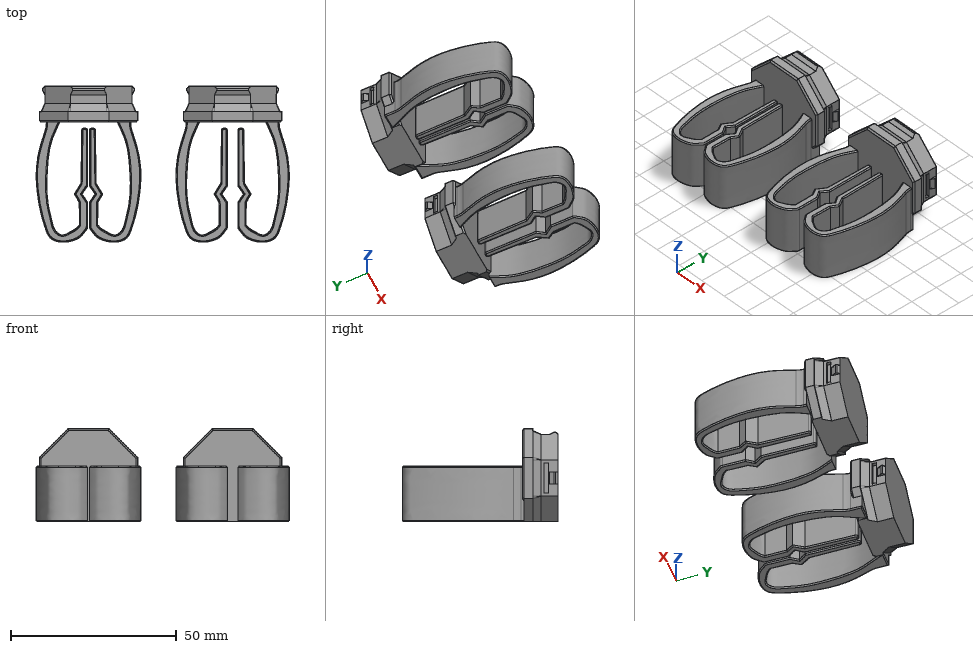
import cadquery as cq
import math


CLIP_LENGTH = 46.95
PLUG_SIZE = 26.3
TAPER_SIZE = 28.5
FLANGE_SIZE = 29.65
AXIS_HEIGHT = PLUG_SIZE / 2

PLUG_DEPTH = 5.2
TAPER_DEPTH = 7.6
FLANGE_DEPTH = 10.8
FLANGE_CHAMFER = 0.5

NUB_RISE = 0.7
NUB_CREST_START = 0.8
NUB_CREST_END = 1.2
NUB_END = 2.6
SIDE_NUB_WIDTH = 3.7

SLOT_START = 3.0
SLOT_WIDTH = 1.3
SLOT_LENGTH = 8.9
SLOT_RECESS = 1.0

ARM_HEIGHT = 16.7
ARM_CHAMFER = 0.4
ROOT_OUTER_X = 12.7
ROOT_DEPTH = 11.3
ROOT_INNER_X = 7.3
FILLET_END_X = 13.1
FILLET_END_DEPTH = 13.5
BULGE_X = 15.8
BULGE_DEPTH = 26.9

LEG_FACE_X = 0.3
LEG_TIP_DEPTH = 12.65
LEG_TIP_FILLET = 0.6
LEG_TIP_BACK_X = 2.05
LEG_NOTCH_BACK_X = 2.3
LEG_NOTCH_BACK_DEPTH = 29.3
NOTCH_DEPTH = 32.5
NOTCH_HALF_LENGTH = 2.45
NOTCH_X = 2.0
NOTCH_BACK_X = 4.3
LEG_FOOT_START_X = 2.8
LEG_FOOT_END_X = 2.75
LEG_FOOT_END_DEPTH = 41.8
LEG_END_DEPTH = 42.2

CLIP_PITCH = 43.4
ARM_SPREAD = 1.3


def octagon(size, depth):
    """Regular octagon standing on a plane at the given depth, with flats on all four sides."""
    half_sector = 180 / 8
    diameter = size / math.cos(math.radians(half_sector))
    plane = cq.Workplane("XZ", origin=(0, -depth, AXIS_HEIGHT))
    return plane.transformed(rotate=(0, 0, half_sector)).polygon(8, diameter)


def make_nub(width):
    """Latch nub on the top plug face: a ramp up from the back face, a flat crest and a ramp down."""
    top = AXIS_HEIGHT + PLUG_SIZE / 2
    crest = top + NUB_RISE
    profile = [(0, top), (-NUB_CREST_START, crest), (-NUB_CREST_END, crest), (-NUB_END, top)]
    return cq.Workplane("YZ").polyline(profile).close().extrude(width / 2, both=True)


def make_base():
    plug = octagon(PLUG_SIZE, 0).extrude(PLUG_DEPTH)
    taper_length = TAPER_DEPTH - PLUG_DEPTH
    taper_angle = math.degrees(math.atan((TAPER_SIZE - PLUG_SIZE) / 2 / taper_length))
    taper = octagon(PLUG_SIZE, PLUG_DEPTH).extrude(taper_length, taper=-taper_angle)
    flange = octagon(FLANGE_SIZE, TAPER_DEPTH).extrude(FLANGE_DEPTH - TAPER_DEPTH)
    flange = flange.faces("<Y").chamfer(FLANGE_CHAMFER)
    base = plug.union(taper).union(flange)

    flat = PLUG_SIZE * math.tan(math.pi / 8)
    foot_x = flat / 2
    crest_x = foot_x - NUB_RISE
    top = AXIS_HEIGHT + PLUG_SIZE / 2
    between_slants = (
        cq.Workplane("XZ", origin=(0, 0, top))
        .polyline([(-foot_x, 0), (foot_x, 0), (crest_x, NUB_RISE), (-crest_x, NUB_RISE)])
        .close()
        .extrude(NUB_END)
    )
    base = base.union(make_nub(flat).intersect(between_slants))

    slot_depth = SLOT_START + SLOT_WIDTH / 2
    for side in (-1, 1):
        side_nub = make_nub(SIDE_NUB_WIDTH).rotate((0, 0, AXIS_HEIGHT), (0, 1, AXIS_HEIGHT), side * 90)
        slot = cq.Workplane("XY").box(2 * SLOT_RECESS, SLOT_WIDTH, SLOT_LENGTH)
        slot = slot.translate((side * PLUG_SIZE / 2, -slot_depth, AXIS_HEIGHT))
        base = base.union(side_nub).cut(slot)

    below = cq.Workplane("XY").box(2 * FLANGE_SIZE, 2 * CLIP_LENGTH, FLANGE_SIZE)
    return base.cut(below.translate((0, 0, -FLANGE_SIZE / 2)))


def make_arm():
    """Right-hand arm: out from the flange, round the bend and back up as the gripping leg."""
    outer_curve = [
        (14.25, -17.1), (15.3, -21.5), (BULGE_X, -BULGE_DEPTH), (15.5, -31.8), (14.3, -38.35), (13.0, -42.8),
        (11.4, -45.7), (7.8, -CLIP_LENGTH), (4.5, -46.4), (2.05, -45), (0.9, -43.5), (LEG_FACE_X, -LEG_END_DEPTH),
    ]
    inner_curve = [
        (3.7, -42.85), (5.9, -44.1), (7.9, -44.8), (9.9, -43.6), (11.05, -40.55), (12.05, -36.2), (12.6, -28.4),
        (12.1, -21.5), (10.8, -15.6), (9.2, -12.0), (ROOT_INNER_X, -TAPER_DEPTH),
    ]
    fillet_turn = 2 * math.atan((FILLET_END_X - ROOT_OUTER_X) / (FILLET_END_DEPTH - ROOT_DEPTH))
    fillet_end_direction = (math.sin(fillet_turn), -math.cos(fillet_turn))
    arm = (
        cq.Workplane("XY")
        .moveTo(ROOT_INNER_X, -TAPER_DEPTH)
        .lineTo(ROOT_OUTER_X, -TAPER_DEPTH)
        .lineTo(ROOT_OUTER_X, -ROOT_DEPTH)
        .tangentArcPoint((FILLET_END_X, -FILLET_END_DEPTH), relative=False)
        .spline(outer_curve, tangents=[fillet_end_direction, (0, 1)], includeCurrent=True)
        .lineTo(LEG_FACE_X, -NOTCH_DEPTH - NOTCH_HALF_LENGTH)
        .lineTo(NOTCH_X, -NOTCH_DEPTH)
        .lineTo(LEG_FACE_X, -NOTCH_DEPTH + NOTCH_HALF_LENGTH)
        .lineTo(LEG_FACE_X, -LEG_TIP_DEPTH)
        .lineTo(LEG_TIP_BACK_X, -LEG_TIP_DEPTH)
        .lineTo(LEG_NOTCH_BACK_X, -LEG_NOTCH_BACK_DEPTH)
        .lineTo(NOTCH_BACK_X, -NOTCH_DEPTH)
        .lineTo(LEG_FOOT_START_X, -NOTCH_DEPTH - NOTCH_HALF_LENGTH)
        .lineTo(LEG_FOOT_END_X, -LEG_FOOT_END_DEPTH)
        .spline(inner_curve, includeCurrent=True)
        .close()
        .extrude(ARM_HEIGHT)
    )
    leg_tip = cq.selectors.BoxSelector(
        (0, -LEG_TIP_DEPTH - LEG_TIP_FILLET, 0),
        (LEG_NOTCH_BACK_X, -LEG_TIP_DEPTH + LEG_TIP_FILLET, ARM_HEIGHT),
    )
    arm = arm.edges("|Z").edges(leg_tip).fillet(LEG_TIP_FILLET)
    return arm.faces("<Z or >Z").chamfer(ARM_CHAMFER)


def make_clip(center_x, spread, root_start):
    """Whole clip; the arm roots begin at the depth root_start."""
    behind_root = cq.Workplane("XY").box(2 * FLANGE_SIZE, 2 * root_start, 2 * FLANGE_SIZE)
    right_arm = make_arm().translate((spread, 0, 0)).cut(behind_root)
    left_arm = right_arm.mirror("YZ")
    clip = make_base().union(right_arm).union(left_arm)
    return clip.translate((center_x, 0, 0))


clips = [
    make_clip(0, 0, TAPER_DEPTH),
    make_clip(CLIP_PITCH, ARM_SPREAD, FLANGE_DEPTH - FLANGE_CHAMFER),
]

result = cq.Compound.makeCompound([clip.val() for clip in clips])